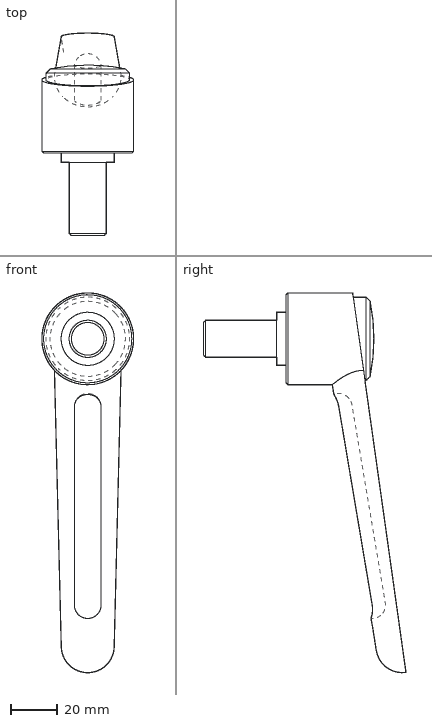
import cadquery as cq
import math

HUB_RADIUS = 20.0
HUB_FACE_CHAMFER = 0.8
HUB_BACK_AT_TOP = 29.0
COLLAR_RADIUS = 11.5
COLLAR_LENGTH = 4.0
STUD_RADIUS = 8.1
STUD_END = 35.8
STUD_CHAMFER = 1.0
CAP_RADIUS = 18.2
CAP_RIM = 36.6
CAP_CHAMFER = 1.8
CAP_DOME_HEIGHT = 1.7

TILT = 8.0
OVERALL_LENGTH = 165.0
TIP_RADIUS = 11.5
ROOT_RADIUS = 14.9

SLOT_RADIUS = 5.8
SLOT_TOP = -29.5
SLOT_BOTTOM = -115.7

tilt = math.radians(TILT)
back_at_axis = HUB_BACK_AT_TOP + HUB_RADIUS * math.tan(tilt)
tip_z = HUB_RADIUS - OVERALL_LENGTH
handle_length = (-tip_z - TIP_RADIUS) / math.cos(tilt)
taper = (ROOT_RADIUS - TIP_RADIUS) / handle_length


def cylinder_y(radius, start, end):
    return cq.Workplane("XZ", origin=(0, start, 0)).circle(radius).extrude(start - end)


def place_on_handle(body):
    """Turn a body running along -Z so that it follows the tilted handle."""
    return body.rotate((0, 0, 0), (1, 0, 0), TILT).translate((0, back_at_axis, 0))


def front_half_space():
    """Large block in front of the slanted back plane."""
    size = 3 * OVERALL_LENGTH
    block = cq.Workplane("XY").box(size, size, size).translate((0, -size / 2, 0))
    return place_on_handle(block)


def make_hub():
    hub = cylinder_y(HUB_RADIUS, 0, 2 * HUB_BACK_AT_TOP)
    return hub.faces("<Y").chamfer(HUB_FACE_CHAMFER)


def make_handle():
    profile = (
        cq.Workplane("XZ")
        .lineTo(ROOT_RADIUS, 0)
        .lineTo(TIP_RADIUS, -handle_length)
        .threePointArc(
            (TIP_RADIUS * math.sqrt(0.5), -handle_length - TIP_RADIUS * math.sqrt(0.5)),
            (0, -handle_length - TIP_RADIUS),
        )
        .close()
    )
    return place_on_handle(profile.revolve(360, (0, 0, 0), (0, 1, 0)))


def slot_centre(z):
    """Point on the slot axis, level with the slot's long edges on the handle."""
    along = -z / math.cos(tilt)
    radius = ROOT_RADIUS - taper * along
    depth = math.sqrt(radius**2 - SLOT_RADIUS**2)
    return cq.Vector(0, back_at_axis - z * math.tan(tilt) - depth / math.cos(tilt), z)


def make_slot():
    top = slot_centre(SLOT_TOP)
    bottom = slot_centre(SLOT_BOTTOM)
    run = bottom - top
    slot = cq.Workplane(cq.Solid.makeCylinder(SLOT_RADIUS, run.Length, top, run))
    for centre in (top, bottom):
        slot = slot.union(cq.Workplane("XY").sphere(SLOT_RADIUS).translate(centre.toTuple()))
    return slot


def make_cap():
    face_radius = CAP_RADIUS - CAP_CHAMFER
    dome_radius = (face_radius**2 + CAP_DOME_HEIGHT**2) / (2 * CAP_DOME_HEIGHT)
    mid_x = face_radius / 2
    dome_centre = CAP_RIM + CAP_DOME_HEIGHT - dome_radius
    mid_y = dome_centre + math.sqrt(dome_radius**2 - mid_x**2)
    return (
        cq.Workplane("XY")
        .moveTo(0, HUB_RADIUS)
        .lineTo(CAP_RADIUS, HUB_RADIUS)
        .lineTo(CAP_RADIUS, CAP_RIM - CAP_CHAMFER)
        .lineTo(face_radius, CAP_RIM)
        .threePointArc((mid_x, mid_y), (0, CAP_RIM + CAP_DOME_HEIGHT))
        .close()
        .revolve(360, (0, 0, 0), (0, 1, 0))
    )


def make_stud():
    stud = cylinder_y(STUD_RADIUS, -STUD_END, 0).faces("<Y").chamfer(STUD_CHAMFER)
    return stud.union(cylinder_y(COLLAR_RADIUS, -COLLAR_LENGTH, 0))


lever = make_handle().cut(make_slot()).union(make_hub()).intersect(front_half_space())
result = lever.union(make_cap()).union(make_stud())